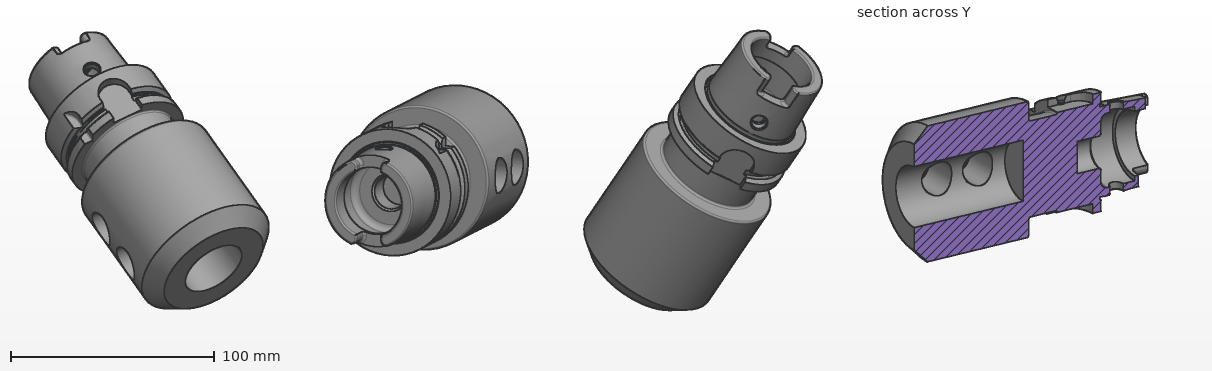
import cadquery as cq
import math


shank_length = 32.0
shank_end = -shank_length
taper_big_radius = 24.2
taper_small_radius = 22.8
shank_end_fillet = 0.9
relief_width = 1.8
relief_depth = 0.2
relief_cone_length = 0.7
face_recess_radius = 25.5
face_recess_depth = 0.6

flange_radius = 31.5
flange_width = 26.0
groove_start = 15.0
groove_end = 21.2
groove_floor_radius = 27.5
groove_shoulder_radius = 29.2
groove_wall_angle = 30.0
groove_fillet = 0.6

neck_radius = 25.5
flange_neck_fillet = 0.8
body_neck_fillet = 1.2
body_start = 42.5
body_end = 110.0
body_radius = 36.0
body_back_fillet = 1.0
nose_chamfer = 8.0

bore_radius = 17.0
bore_depth = 12.5
clamp_radius = 19.5
cavity_depth = 32.0
cavity_floor_radius = 15.9
cavity_floor_fillet = clamp_radius - cavity_floor_radius
tube_hole_radius = 8.4
tube_hole_chamfer = 1.0
tube_hole_depth = 14.0

drive_slot_width = 12.4
upper_slot_depth = 6.0
lower_slot_depth = 10.0
drive_slot_floor_fillet = 1.6
drive_slot_rim_round = 3.0

access_hole_x = -9.0
access_hole_diameter = 7.4
access_hole_chamfer = 0.6

keyway_floor = 26.5
keyway_start = 5.0
upper_keyway_width = 16.0
lower_keyway_width = 18.0

notch_floor_z = 20.0
notch_wall_y = -19.8
notch_tangent_x = 12.4
notch_corner_radius = 8.0
notch_floor_fillet = 0.5

tool_bore_radius = 16.0
tool_bore_depth = 64.0
screw_hole_diameter = 17.5
screw_pitch = 24.0
first_screw_x = body_end - screw_pitch
screw_positions = [first_screw_x, first_screw_x - screw_pitch]


def turned(points):
    """Revolve a closed (x, radius) outline about the X axis."""
    outline = cq.Workplane("XY").polyline(points).close()
    return outline.revolve(360, (0, 0, 0), (1, 0, 0))


def plain_cylinder(x_start, x_end, radius):
    """Cylinder lying on the X axis."""
    return turned([(x_start, 0), (x_end, 0), (x_end, radius), (x_start, radius)])


def make_shank():
    """Tapered shank, with a relief where it meets the flange."""
    slope = (taper_big_radius - taper_small_radius) / shank_length
    relief_start_radius = taper_big_radius - slope * relief_width
    relief_radius = relief_start_radius - relief_depth
    return turned([
        (shank_end, 0),
        (shank_end, taper_small_radius),
        (-relief_width, relief_start_radius),
        (-relief_width + relief_cone_length, relief_radius),
        (face_recess_depth, relief_radius),
        (face_recess_depth, 0),
    ])


def make_flange():
    """Flange disc with a face recess and a gripper groove."""
    flange = plain_cylinder(0, flange_width, flange_radius)
    flange = flange.cut(turned([
        (0, 0),
        (0, face_recess_radius),
        (face_recess_depth, face_recess_radius - face_recess_depth),
        (face_recess_depth, 0),
    ]))
    wall_run = (flange_radius - groove_shoulder_radius) * math.tan(math.radians(groove_wall_angle))
    groove_outline = (
        cq.Workplane("XY")
        .moveTo(groove_start, flange_radius)
        .lineTo(groove_start + wall_run, groove_shoulder_radius)
        .lineTo(groove_start + wall_run, groove_floor_radius + groove_fillet)
        .radiusArc((groove_start + wall_run + groove_fillet, groove_floor_radius), -groove_fillet)
        .lineTo(groove_end - wall_run - groove_fillet, groove_floor_radius)
        .radiusArc((groove_end - wall_run, groove_floor_radius + groove_fillet), -groove_fillet)
        .lineTo(groove_end - wall_run, groove_shoulder_radius)
        .lineTo(groove_end, flange_radius)
        .close()
    )
    return flange.cut(groove_outline.revolve(360, (0, 0, 0), (1, 0, 0)))


def make_neck():
    """Neck, filleted into the flange and into the body."""
    outline = (
        cq.Workplane("XY")
        .moveTo(flange_width, 0)
        .lineTo(flange_width, neck_radius + flange_neck_fillet)
        .radiusArc((flange_width + flange_neck_fillet, neck_radius), -flange_neck_fillet)
        .lineTo(body_start - body_neck_fillet, neck_radius)
        .radiusArc((body_start, neck_radius + body_neck_fillet), -body_neck_fillet)
        .lineTo(body_start, 0)
        .close()
    )
    return outline.revolve(360, (0, 0, 0), (1, 0, 0))


def make_body():
    """Clamping body with a rounded back edge and a large chamfer on its nose."""
    body = plain_cylinder(body_start, body_end, body_radius)
    body = body.faces("<X").edges().fillet(body_back_fillet)
    return body.faces(">X").edges().chamfer(nose_chamfer)


def make_cavity():
    """Clamping cavity of the shank, with the coolant tube hole behind it."""
    clamp_start = shank_end + bore_depth
    floor = shank_end + cavity_depth
    tube_end = floor + tube_hole_depth
    outline = (
        cq.Workplane("XY")
        .moveTo(shank_end, 0)
        .lineTo(shank_end, bore_radius)
        .lineTo(clamp_start, bore_radius)
        .lineTo(clamp_start, clamp_radius)
        .lineTo(floor - cavity_floor_fillet, clamp_radius)
        .radiusArc((floor, cavity_floor_radius), cavity_floor_fillet)
        .lineTo(floor, tube_hole_radius + tube_hole_chamfer)
        .lineTo(floor + tube_hole_chamfer, tube_hole_radius)
        .lineTo(tube_end, tube_hole_radius)
        .lineTo(tube_end, 0)
        .close()
    )
    return outline.revolve(360, (0, 0, 0), (1, 0, 0))


def make_drive_slot(depth, side):
    """Drive slot on the +Z (side = 1) or -Z (side = -1) half, widening at the rim."""
    half_width = drive_slot_width / 2
    rim_half_width = half_width + drive_slot_rim_round
    rim_z = math.sqrt(taper_small_radius**2 - rim_half_width**2)
    top_z = taper_big_radius + drive_slot_rim_round
    round_z = rim_z - drive_slot_rim_round
    slot = (
        cq.Workplane("YZ", origin=(shank_end, 0, 0))
        .moveTo(-half_width, 0)
        .lineTo(half_width, 0)
        .lineTo(half_width, round_z)
        .radiusArc((rim_half_width, rim_z), drive_slot_rim_round)
        .lineTo(rim_half_width, top_z)
        .lineTo(-rim_half_width, top_z)
        .lineTo(-rim_half_width, rim_z)
        .radiusArc((-half_width, round_z), drive_slot_rim_round)
        .close()
        .extrude(depth)
        .faces(">X")
        .edges("not <Z")
        .fillet(drive_slot_floor_fillet)
    )
    if side < 0:
        slot = slot.mirror("XY")
    return slot


def make_keyway(width, side):
    """Round-ended keyway, open to +X, with a flat floor on the given Z side."""
    radius = width / 2
    keyway = (
        cq.Workplane("XY", origin=(0, 0, keyway_floor))
        .moveTo(flange_width, -radius)
        .lineTo(flange_width, radius)
        .lineTo(keyway_start + radius, radius)
        .threePointArc((keyway_start, 0), (keyway_start + radius, -radius))
        .close()
        .extrude(flange_radius - keyway_floor)
    )
    if side < 0:
        keyway = keyway.mirror("XY")
    return keyway


def make_notch():
    """Orientation notch with a flat floor, a rounded end wall and a filleted floor edge."""
    notch_start = notch_tangent_x - notch_corner_radius
    corner_y = notch_wall_y - notch_corner_radius
    notch = (
        cq.Workplane("XY", origin=(0, 0, notch_floor_z))
        .moveTo(flange_width, notch_wall_y)
        .lineTo(notch_tangent_x, notch_wall_y)
        .radiusArc((notch_start, corner_y), -notch_corner_radius)
        .lineTo(notch_start, -flange_radius)
        .lineTo(flange_width, -flange_radius)
        .close()
        .extrude(flange_radius - notch_floor_z)
    )
    margin = notch_floor_fillet
    wall_foot = cq.selectors.BoxSelector(
        (notch_start - margin, -flange_radius, notch_floor_z - margin),
        (flange_width - margin, notch_wall_y + margin, notch_floor_z + margin),
    )
    return notch.edges(wall_foot).fillet(notch_floor_fillet)


def drill_access_hole(part):
    """Drill a radial hole through both shank walls and chamfer its two mouths."""
    hole = (
        cq.Workplane("XY", origin=(access_hole_x, 0, -flange_radius))
        .circle(access_hole_diameter / 2)
        .extrude(2 * flange_radius)
    )
    drilled = part.cut(hole)
    for side in (1, -1):
        mouth_region = cq.selectors.BoxSelector(
            (access_hole_x - access_hole_diameter, -access_hole_diameter, side * taper_small_radius),
            (access_hole_x + access_hole_diameter, access_hole_diameter, side * flange_radius),
        )
        drilled = drilled.edges(mouth_region).chamfer(access_hole_chamfer)
    return drilled


def make_screw_hole(x):
    """Side screw hole from -Y into the tool bore."""
    hole = cq.Solid.makeCylinder(
        screw_hole_diameter / 2,
        body_radius,
        cq.Vector(x, 0, 0),
        cq.Vector(0, -1, 0),
    )
    return cq.Workplane(hole)


result = make_flange().union(make_shank()).union(make_neck()).union(make_body())
result = result.cut(make_cavity())
result = drill_access_hole(result)
result = result.cut(plain_cylinder(body_end - tool_bore_depth, body_end, tool_bore_radius))
result = result.cut(make_drive_slot(upper_slot_depth, 1))
result = result.cut(make_drive_slot(lower_slot_depth, -1))
result = result.faces("<X").edges().fillet(shank_end_fillet)
result = result.cut(make_keyway(upper_keyway_width, 1))
result = result.cut(make_keyway(lower_keyway_width, -1))
result = result.cut(make_notch())
for screw_x in screw_positions:
    result = result.cut(make_screw_hole(screw_x))